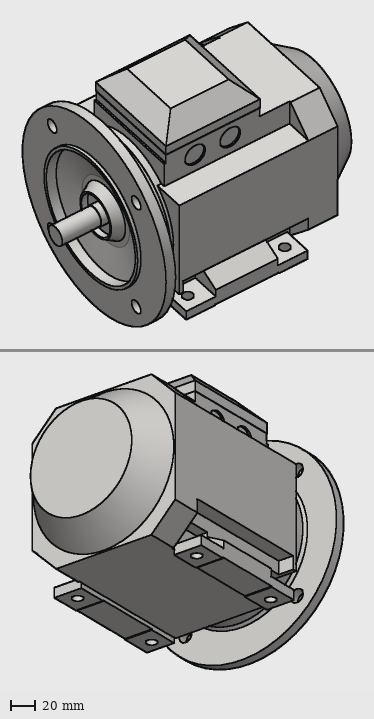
import cadquery as cq


shaft_radius = 9.5
shaft_length = 39.8
collar_radius = 10.0

flange_diameter = 200.0
flange_radius = flange_diameter / 2
flange_thickness = 9.8
spigot_radius = 65.0
spigot_height = 3.5
bolt_circle_radius = 82.5
bolt_hole_diameter = 12.7
bolt_hole_count = 4
first_bolt_angle = 45

bowl_mouth_radius = 61.9
bowl_rim_radius = 61.3
bowl_rim_y = 6.5
bowl_floor_radius = 33.0
bowl_floor_y = 11.7
boss_base_radius = 27.5
boss_tip_radius = 21.8
boss_tip_y = 1.5
boss_recess_radius = 20.0
boss_recess_y = 8.0

bell_radius = 67.2
bell_flare = 2.5
bell_flare_length = 3.2
bell_step = 0.3
bell_step_y = 29.0

body_half = 75.0
corner_chamfer = 25.0
flat_half = body_half - corner_chamfer
block_front_y = 32.0
body_front_y = 36.0
body_back_y = 195.1
notch_back_y = 165.1
notch_wall_x = 48.5
bottom_notch_z = -37.2

cowl_base_radius = 73.5
cowl_tip_radius = 53.0
cowl_tip_y = 225.7

box_front_y = 37.7
box_length = 97.0
box_back_y = box_front_y + box_length
lid_bottom_z = 84.5
lid_shoulder_z = 94.3
lid_slope = 18.5
lid_overhang = 0.3
lid_half_width = notch_wall_x + lid_overhang
entry_diameter = 20.7
entry_depth = 1.9
entry_z = 68.0
entry_positions_y = (68.0, 104.0)

foot_outer_x = 77.0
foot_bottom_z = -80.0
foot_pad_z = -70.4
foot_front_y = box_front_y
foot_back_y = 162.8
web_wall_x = 59.7
web_slope_top_z = -54.2
web_slope_bottom_z = -63.0
web_front_y = 68.2
web_back_y = 132.2
foot_relief_depth = 0.8
foot_relief_front_y = 67.5
foot_relief_back_y = 133.0
foot_hole_diameter = 10.0
foot_hole_x = 62.5
foot_hole_positions_y = (50.2, 150.0)


def block(x0, x1, y0, y1, z0, z1):
    """Axis-aligned box between two opposite corners."""
    return cq.Workplane("XY").box(x1 - x0, y1 - y0, z1 - z0, centered=False).translate((x0, y0, z0))


def both_sides(shape):
    """The shape together with its mirror image across the YZ plane."""
    return shape.union(shape.mirror("YZ"))


def turned_parts():
    """Shaft, hollow flange, end bell and fan cowl as one solid of revolution about Y."""
    profile = [
        (0, -shaft_length),
        (shaft_radius, -shaft_length),
        (shaft_radius, 0),
        (collar_radius, 0),
        (collar_radius, boss_recess_y),
        (boss_recess_radius, boss_recess_y),
        (boss_recess_radius, boss_tip_y),
        (boss_tip_radius, boss_tip_y),
        (boss_base_radius, bowl_floor_y),
        (bowl_floor_radius, bowl_floor_y),
        (bowl_rim_radius, bowl_rim_y),
        (bowl_mouth_radius, -spigot_height),
        (spigot_radius, -spigot_height),
        (spigot_radius, 0),
        (flange_radius, 0),
        (flange_radius, flange_thickness),
        (bell_radius + bell_flare, flange_thickness),
        (bell_radius, flange_thickness + bell_flare_length),
        (bell_radius, bell_step_y),
        (bell_radius - bell_step, bell_step_y),
        (bell_radius - bell_step, body_back_y),
        (cowl_base_radius, body_back_y),
        (cowl_tip_radius, cowl_tip_y),
        (0, cowl_tip_y),
    ]
    return cq.Workplane("XY").polyline(profile).close().revolve(360, (0, 0), (0, 1))


def flange_holes():
    """Bolt holes through the flange, evenly spaced on the bolt circle."""
    return (
        cq.Workplane("XZ")
        .polarArray(bolt_circle_radius, first_bolt_angle, 360, bolt_hole_count)
        .circle(bolt_hole_diameter / 2)
        .extrude(-flange_thickness)
    )


def housing():
    """Octagonal body with its side block, notched along the four long corners."""
    body = (
        block(-body_half, body_half, body_front_y, body_back_y, -body_half, body_half)
        .edges("|Y")
        .chamfer(corner_chamfer)
    )
    side_block = block(-body_half, body_half, block_front_y, body_back_y, -flat_half, flat_half)
    top_notch = block(notch_wall_x, body_half, body_front_y, notch_back_y, flat_half, body_half)
    bottom_notch = block(notch_wall_x, body_half, body_front_y, notch_back_y, -body_half, bottom_notch_z)
    return body.union(side_block).cut(both_sides(top_notch)).cut(both_sides(bottom_notch))


def terminal_box():
    """Box on top of the housing with a slightly overhanging hipped lid."""
    base_front_y = box_front_y + lid_overhang
    base_back_y = box_back_y - lid_overhang
    base = block(-notch_wall_x, notch_wall_x, base_front_y, base_back_y, flat_half, lid_bottom_z)
    rim = block(-lid_half_width, lid_half_width, box_front_y, box_back_y, lid_bottom_z, lid_shoulder_z)
    hip = (
        cq.Workplane("XY", origin=(0, (box_front_y + box_back_y) / 2, lid_shoulder_z))
        .rect(2 * lid_half_width, box_length)
        .workplane(offset=lid_slope)
        .rect(2 * (lid_half_width - lid_slope), box_length - 2 * lid_slope)
        .loft(ruled=True)
    )
    return base.union(rim).union(hip)


def cable_entries():
    """Shallow round knockouts in both side walls below the terminal box."""
    entries = (
        cq.Workplane("YZ", origin=(notch_wall_x - entry_depth, 0, 0))
        .pushPoints([(y, entry_z) for y in entry_positions_y])
        .circle(entry_diameter / 2)
        .extrude(entry_depth)
    )
    return both_sides(entries)


def feet():
    """Bolt-down feet: end pads with holes, joined by a sloped web to the housing."""
    rail = block(notch_wall_x, web_wall_x, body_front_y, notch_back_y, -flat_half, bottom_notch_z)
    pad = block(notch_wall_x, foot_outer_x, foot_front_y, foot_back_y, foot_bottom_z, foot_pad_z)
    web = (
        cq.Workplane("XZ", origin=(0, web_back_y, 0))
        .polyline(
            [
                (notch_wall_x, foot_pad_z),
                (foot_outer_x, foot_pad_z),
                (foot_outer_x, web_slope_bottom_z),
                (web_wall_x, web_slope_top_z),
                (web_wall_x, -flat_half),
                (notch_wall_x, -flat_half),
            ]
        )
        .close()
        .extrude(web_back_y - web_front_y)
    )
    relief = block(
        notch_wall_x,
        foot_outer_x,
        foot_relief_front_y,
        foot_relief_back_y,
        foot_bottom_z,
        foot_bottom_z + foot_relief_depth,
    )
    holes = (
        cq.Workplane("XY", origin=(0, 0, foot_bottom_z))
        .pushPoints([(foot_hole_x, y) for y in foot_hole_positions_y])
        .circle(foot_hole_diameter / 2)
        .extrude(foot_pad_z - foot_bottom_z)
    )
    return both_sides(rail.union(pad).union(web).cut(relief).cut(holes))


result = (
    turned_parts()
    .cut(flange_holes())
    .union(housing())
    .union(terminal_box())
    .cut(cable_entries())
    .union(feet())
)